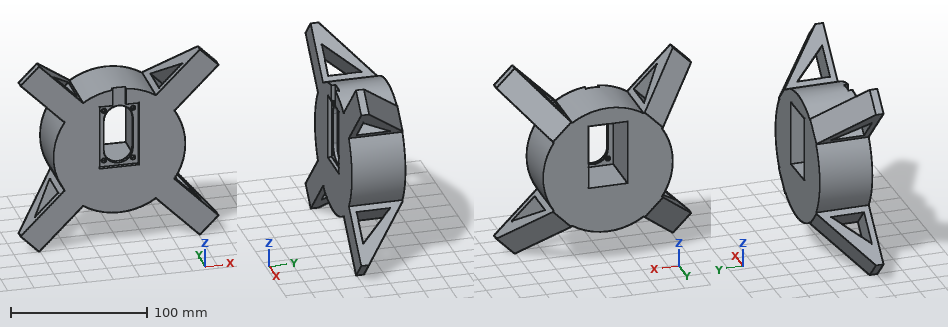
import cadquery as cq
import math

SPAN = 150.0
HEIGHT = 41.0
HUB_RADIUS = 50.0

ARM_COUNT = 4
ARM_WIDTH = 20.0
ARM_TIP_HEIGHT = 6.0
ARM_REACH = SPAN / math.sqrt(2) - ARM_WIDTH / 2
ARM_ROOT = math.sqrt(HUB_RADIUS**2 - (ARM_WIDTH / 2) ** 2)

WINDOW_WALL = 5.0
WINDOW_LENGTH = 25.0
WINDOW_HEIGHT = 25.5

OPENING_WIDTH = 30.0
OPENING_LENGTH = 50.0
OPENING_CENTER_Z = 12.0
RECESS_DEPTH = 3.0
PLATE_THICKNESS = 3.0
PLATE_BACK = RECESS_DEPTH + PLATE_THICKNESS

SLOT_WIDTH = 22.0
SLOT_LENGTH = 46.0
SCREW_DIAMETER = 3.5
SCREW_SPACING_X = 22.0
SCREW_SPACING_Z = 40.0

CHANNEL_WIDTH = 10.0


def front_plane(depth=0.0, center_z=0.0):
    """Plane at Y = depth, with local axes X and Z, whose normal points to -Y."""
    return cq.Workplane("XZ", origin=(0, depth, center_z))


def make_arm():
    """Braced arm along +X with its triangular window."""
    brace = (
        cq.Workplane("XY")
        .polyline([
            (0, 0),
            (ARM_REACH, 0),
            (ARM_REACH, ARM_TIP_HEIGHT),
            (HUB_RADIUS, HEIGHT),
            (0, HEIGHT),
        ])
        .close()
        .extrude(ARM_WIDTH / 2, both=True)
    )
    window_root = ARM_ROOT + WINDOW_WALL
    window = (
        cq.Workplane("XY")
        .polyline([
            (window_root, WINDOW_WALL),
            (window_root + WINDOW_LENGTH, WINDOW_WALL),
            (window_root, WINDOW_WALL + WINDOW_HEIGHT),
        ])
        .close()
        .extrude(ARM_WIDTH, both=True)
    )
    return brace.cut(window)


def opening_box(start, end):
    """Rectangular opening between two depths along Y."""
    return front_plane(start, OPENING_CENTER_Z).rect(OPENING_WIDTH, OPENING_LENGTH).extrude(start - end)


def make_plate_cutouts():
    """Rounded slot and four screw holes through the mounting plate."""
    plate = front_plane(RECESS_DEPTH, OPENING_CENTER_Z)
    slot = plate.slot2D(SLOT_LENGTH, SLOT_WIDTH, 90).extrude(-PLATE_THICKNESS)
    screws = (
        plate.rect(SCREW_SPACING_X, SCREW_SPACING_Z, forConstruction=True)
        .vertices()
        .circle(SCREW_DIAMETER / 2)
        .extrude(-PLATE_THICKNESS)
    )
    return slot.union(screws)


def make_channel():
    """Channel running up from the opening through the hub rim."""
    length = HUB_RADIUS - OPENING_CENTER_Z
    return (
        front_plane(0, OPENING_CENTER_Z + length / 2)
        .rect(CHANNEL_WIDTH, length)
        .extrude(-RECESS_DEPTH)
    )


body = front_plane().circle(HUB_RADIUS).extrude(-HEIGHT)
arm = make_arm()
for index in range(ARM_COUNT):
    angle = (index + 0.5) * 360 / ARM_COUNT
    body = body.union(arm.rotate((0, 0, 0), (0, 1, 0), angle))

body = body.cut(opening_box(0, RECESS_DEPTH))
body = body.cut(opening_box(PLATE_BACK, HEIGHT))
body = body.cut(make_plate_cutouts())
result = body.cut(make_channel())